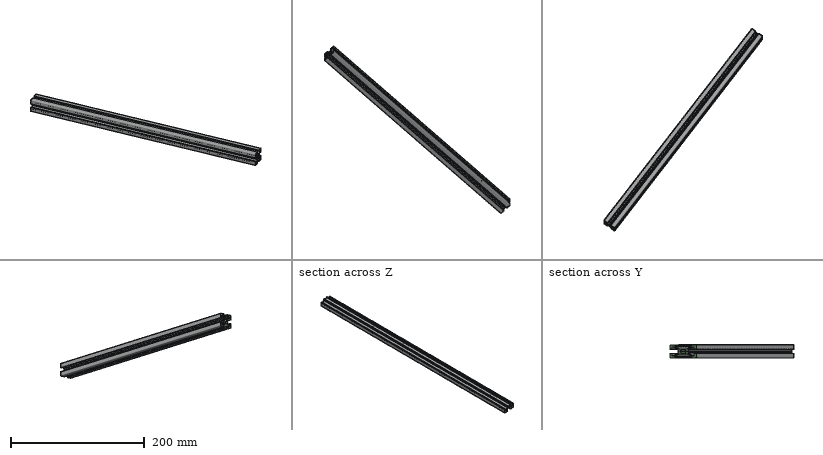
import cadquery as cq
import math

envelope_x = 330.5
length_to_width = 18.5
turn_angle = 30.0
turn = math.radians(turn_angle)
width = envelope_x / (length_to_width * math.cos(turn) + math.sin(turn))
length = length_to_width * width

half_width = width / 2
corner_radius = 1.02
bore_diameter = 4.3

slot_half_opening = 3.05
lip_thickness = 2.0
pocket_half_width = 6.3
floor_half_width = 2.58
groove_half_width = 0.6
groove_depth = 0.5
slot_floor = 4.0
lip_underside = half_width - lip_thickness
flank_top = slot_floor + pocket_half_width - floor_half_width


def make_bar():
    """Square bar along X, with rounded long edges, centred on the origin."""
    bar = cq.Workplane("YZ").rect(width, width).extrude(length / 2, both=True)
    return bar.edges("|X").fillet(corner_radius)


def make_slot():
    """Full-length T-slot cutter opening toward +Z, with a V-groove along its floor."""
    half_outline = [
        (groove_half_width, slot_floor),
        (floor_half_width, slot_floor),
        (pocket_half_width, flank_top),
        (pocket_half_width, lip_underside),
        (slot_half_opening, lip_underside),
        (slot_half_opening, half_width),
    ]
    mirrored = [(-y, z) for y, z in reversed(half_outline)]
    groove_bottom = [(0, slot_floor - groove_depth)]
    outline = cq.Workplane("YZ").polyline(groove_bottom + half_outline + mirrored).close()
    return outline.extrude(length / 2, both=True)


profile = make_bar()
slot = make_slot()
for side in range(4):
    profile = profile.cut(slot.rotate((0, 0, 0), (1, 0, 0), 90 * side))

bore = cq.Workplane("YZ").circle(bore_diameter / 2).extrude(length / 2, both=True)
profile = profile.cut(bore)

result = profile.rotate((0, 0, 0), (0, 0, 1), turn_angle)